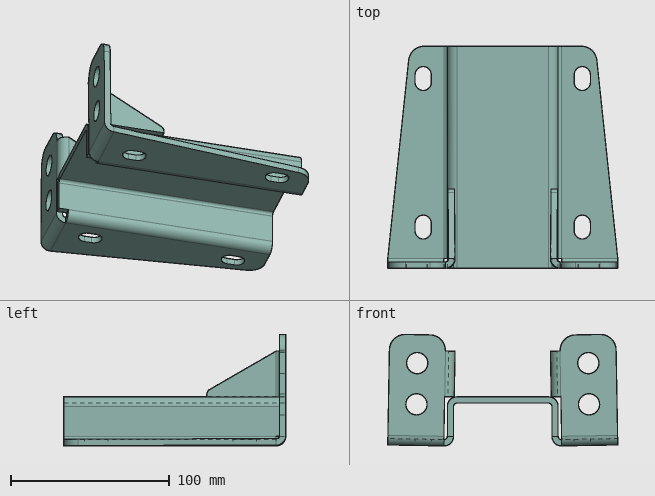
import cadquery as cq
import math

overall_width = 145.1
length = 140.0

thickness = 4.0
inner_radius = 2.0
outer_radius = inner_radius + thickness

deck_top = 31.0
web_outer_x = 35.0
web_inner_x = web_outer_x - thickness
deck_bend_x = web_outer_x - outer_radius

flange_tilt = 1.0
flange_bend_x = web_inner_x + outer_radius
tilt = math.radians(flange_tilt)
tilted_reach = overall_width / 2 - flange_bend_x - outer_radius * math.sin(tilt)
flange_front_x = flange_bend_x + tilted_reach / math.cos(tilt)
flange_back_x = 58.3
corner_radius = 10.0

slot_x = 50.0
slot_y_positions = (26.0, 119.6)
slot_length = 15.0
slot_width = 10.2

ear_top = 70.0
ear_center_x = (flange_bend_x + flange_front_x) / 2
ear_hole_heights = (26.0, 52.0)
ear_hole_diameter = 13.2

gusset_top = 60.0
gusset_back_y = 49.9
gusset_slope = 30.0
gusset_corner_radius = 4.0
gusset_back_top = gusset_top - (gusset_back_y - outer_radius) * math.tan(math.radians(gusset_slope))


def on_circle(center, radius, angle):
    """Point on a circle at an angle in degrees."""
    turn = math.radians(angle)
    return (center[0] + radius * math.cos(turn), center[1] + radius * math.sin(turn))


def bend_profile(plane, center, start, sweep):
    """Sheet cross-section of one bend, swept in degrees about its center."""
    end = start + sweep
    middle = start + sweep / 2
    return (
        cq.Workplane(plane)
        .moveTo(*on_circle(center, inner_radius, start))
        .lineTo(*on_circle(center, outer_radius, start))
        .threePointArc(on_circle(center, outer_radius, middle), on_circle(center, outer_radius, end))
        .lineTo(*on_circle(center, inner_radius, end))
        .threePointArc(on_circle(center, inner_radius, middle), on_circle(center, inner_radius, start))
        .close()
    )


def block(x_range, y_range, z_range):
    """Box spanning the given coordinate ranges."""
    sizes = [high - low for low, high in (x_range, y_range, z_range)]
    return cq.Workplane("XY").box(*sizes, centered=False).translate((x_range[0], y_range[0], z_range[0]))


def make_deck():
    return block((-deck_bend_x, deck_bend_x), (0, length), (deck_top - thickness, deck_top))


def make_left_web():
    """Vertical web with the bends at its head and foot."""
    head_z = deck_top - outer_radius
    web = block((-web_outer_x, -web_inner_x), (0, length), (outer_radius, head_z))
    head = bend_profile("XZ", (-deck_bend_x, head_z), 90, 90).extrude(-length)
    foot = bend_profile("XZ", (-flange_bend_x, outer_radius), 0, -90 - flange_tilt)
    foot = foot.extrude(outer_radius - length).translate((0, outer_radius, 0))
    return web.union(head).union(foot)


def make_flange():
    """Tapered flange with rounded outer back corner and two slots."""
    plate = (
        cq.Workplane("XY")
        .polyline([
            (-flange_bend_x, outer_radius),
            (-flange_front_x, outer_radius),
            (-flange_back_x, length),
            (-flange_bend_x, length),
        ])
        .close()
        .extrude(thickness)
    )
    plate = plate.edges("|Z").edges(cq.NearestToPointSelector((-flange_back_x, length, 0)))
    slots = (
        cq.Workplane("XY")
        .pushPoints([(-slot_x, y) for y in slot_y_positions])
        .slot2D(slot_length, slot_width, 90)
        .extrude(thickness)
    )
    return plate.fillet(corner_radius).cut(slots)


def make_ear():
    """Upright ear with two holes and the bend that joins it to the flange."""
    plate = block((-flange_front_x, -flange_bend_x), (0, thickness), (outer_radius, ear_top))
    plate = plate.edges("|Y and >Z").fillet(corner_radius)
    holes = (
        cq.Workplane("XZ")
        .pushPoints([(-ear_center_x, z) for z in ear_hole_heights])
        .circle(ear_hole_diameter / 2)
        .extrude(-thickness)
    )
    bend = bend_profile("YZ", (outer_radius, outer_radius), 180, 90)
    bend = bend.extrude(flange_front_x - flange_bend_x).translate((-flange_front_x, 0, 0))
    return plate.cut(holes).union(bend)


def make_gusset():
    """Sloped gusset plate with the bend that joins it to the ear."""
    plate = (
        cq.Workplane("YZ")
        .polyline([
            (outer_radius, deck_top),
            (gusset_back_y, deck_top),
            (gusset_back_y, gusset_back_top),
            (outer_radius, gusset_top),
        ])
        .close()
        .extrude(thickness)
        .translate((-web_outer_x, 0, 0))
    )
    back_corner = cq.NearestToPointSelector((-web_outer_x, gusset_back_y, gusset_back_top))
    plate = plate.edges("|X").edges(back_corner).fillet(gusset_corner_radius)
    bend = bend_profile("XY", (-flange_bend_x, outer_radius), 270, 90)
    bend = bend.extrude(gusset_top - deck_top).translate((0, 0, deck_top))
    return plate.union(bend)


def make_left_side():
    """Web with its flange, ear and gusset; these three tilt about the axis of the foot bend."""
    wing = make_flange().union(make_ear()).union(make_gusset())
    axis_start = (-flange_bend_x, 0, outer_radius)
    axis_end = (-flange_bend_x, 1, outer_radius)
    return make_left_web().union(wing.rotate(axis_start, axis_end, flange_tilt))


left_side = make_left_side()
result = make_deck().union(left_side).union(left_side.mirror("YZ"))